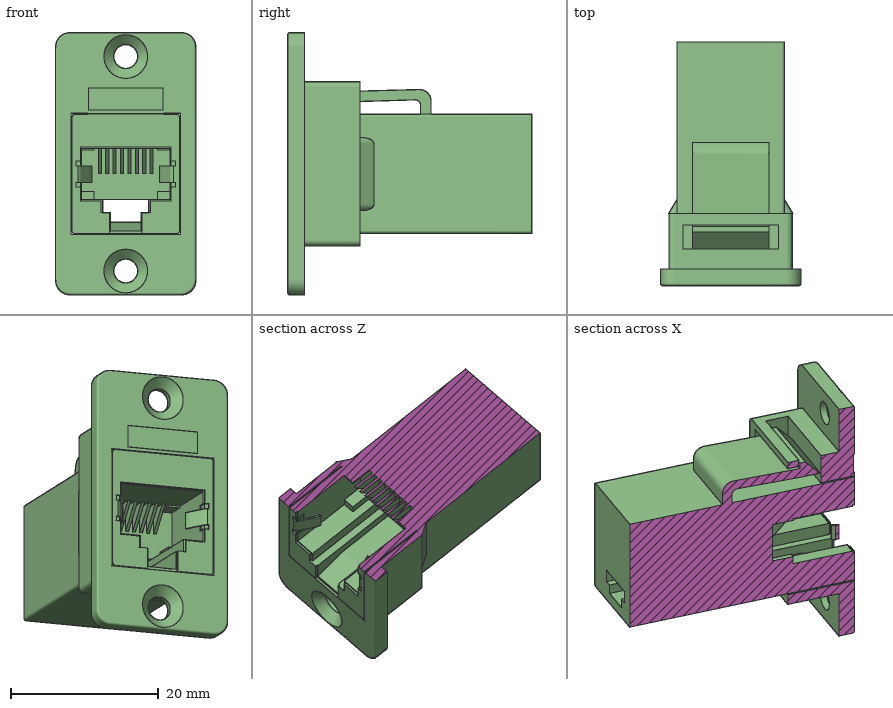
import cadquery as cq


PLATE_WIDTH = 19.0
PLATE_HEIGHT = 35.5
PLATE_THICKNESS = 2.3
PLATE_CORNER_RADIUS = 2.0
PLATE_EDGE_FILLET = 0.3

SCREW_PITCH = 29.0
SCREW_DIAMETER = 3.2
SCREW_HEAD_DIAMETER = 5.9
SCREW_HEAD_ANGLE = 90.0

LABEL_WIDTH = 10.1
LABEL_HEIGHT = 3.0
LABEL_CENTER_Z = 8.75
LABEL_DEPTH = 0.1

FRAME_WIDTH = 16.7
FRAME_HEIGHT = 22.25
FRAME_REAR_Y = 9.8
FRAME_CORNER_RADIUS = 0.75

LENGTH = 33.0
BODY_WIDTH = 14.6
BODY_TOP_Z = 6.7
BODY_BOTTOM_Z = -9.45
BODY_CORNER_RADIUS = 0.4
BODY_GAP = 0.1

SLOT_WIDTH = 12.95
SLOT_FRONT_Y = 4.95
SLOT_REAR_Y = 8.2
CHANNEL_TOP_Z = 10.1

LATCH_WIDTH = 10.3
LATCH_THICKNESS = 1.45
LATCH_REAR_Y = 19.4
LATCH_TOP_Z = 10.1
LATCH_OUTER_RADIUS = 1.6
LATCH_INNER_RADIUS = 0.7
LATCH_DROP = 0.3
BARB_REAR_Y = 8.05
BARB_CREST_FRONT_Y = 7.25
BARB_TIP_Y = 5.0
BARB_TOP_Z = 10.65

STOP_TOP_Z = 3.55
STOP_BOTTOM_Z = -6.35
STOP_REACH_X = 8.4
STOP_REAR_Y = 11.65
STOP_EDGE_FILLET = 0.85
STOP_ROOT_DEPTH = 1.0

SHIELD_THICKNESS = 0.3
CAVITY_DEPTH = 12.0
CAVITY_WIDTH = 11.95
CAVITY_TOP_Z = 2.1
CAVITY_BOTTOM_Z = -4.85
SHIELD_CAVITY_WIDTH = 12.25
SHIELD_CAVITY_TOP_Z = 2.25
SHIELD_CAVITY_BOTTOM_Z = -5.0

KEY_UPPER_WIDTH = 6.2
KEY_LOWER_WIDTH = 4.1
KEY_STEP_Z = -6.6
KEY_FLOOR_Z = -7.9
KEY_RAMP_FRONT_Z = -9.1
KEY_RAMP_REAR_Y = 5.0
SHIELD_KEY_UPPER_WIDTH = 6.75
SHIELD_KEY_LOWER_WIDTH = 4.4

CONTACT_COUNT = 8
CONTACT_PITCH = 1.0
CONTACT_WIDTH = 0.42
CONTACT_BOTTOM_Z = -1.3

GUIDE_INNER_X = 4.3
GUIDE_LENGTH = 3.0
GUIDE_UPPER_BOTTOM_Z = 1.85
GUIDE_LOWER_TOP_Z = -3.75

SPRING_POCKET_X = 6.72
SPRING_POCKET_TOP_Z = 0.4
SPRING_POCKET_BOTTOM_Z = -3.15
SPRING_RELIEF_X = 6.15
SPRING_RELIEF_DEPTH = 1.5
SPRING_TOP_Z = -0.3
SPRING_BOTTOM_Z = -2.55
SPRING_ROOT_X = 6.48
SPRING_BEND_X = 6.0
SPRING_BEND_Y = 0.4
SPRING_BEND_BULGE = 0.08
SPRING_KNEE_X = 4.9
SPRING_KNEE_Y = 2.4
SPRING_TIP_X = 4.55
SPRING_TIP_Y = 3.3


def block(x0, x1, y0, y1, z0, z1):
    """Box given by its limits on each axis."""
    return cq.Workplane("XY").box(x1 - x0, y1 - y0, z1 - z0, centered=False).translate((x0, y0, z0))


def centered_block(width, y0, y1, z0, z1):
    """Box centred on X = 0."""
    return block(-width / 2, width / 2, y0, y1, z0, z1)


def both_sides(shape):
    """The shape together with its mirror image across X = 0."""
    return shape.union(shape.mirror("YZ"))


def make_frame():
    plate = centered_block(PLATE_WIDTH, 0, PLATE_THICKNESS, -PLATE_HEIGHT / 2, PLATE_HEIGHT / 2)
    plate = plate.edges("|Y").fillet(PLATE_CORNER_RADIUS)
    plate = plate.faces("<Y").edges().fillet(PLATE_EDGE_FILLET)

    housing = centered_block(FRAME_WIDTH, PLATE_THICKNESS, FRAME_REAR_Y, -FRAME_HEIGHT / 2, FRAME_HEIGHT / 2)
    housing = housing.edges("|Y").fillet(FRAME_CORNER_RADIUS)

    window = centered_block(
        BODY_WIDTH + 2 * BODY_GAP, 0, FRAME_REAR_Y, BODY_BOTTOM_Z - BODY_GAP, BODY_TOP_Z + BODY_GAP
    )
    channel = centered_block(SLOT_WIDTH, SLOT_FRONT_Y, FRAME_REAR_Y, BODY_TOP_Z, CHANNEL_TOP_Z)
    slot = centered_block(SLOT_WIDTH, SLOT_FRONT_Y, SLOT_REAR_Y, BODY_TOP_Z, FRAME_HEIGHT / 2)
    label = centered_block(
        LABEL_WIDTH, 0, LABEL_DEPTH, LABEL_CENTER_Z - LABEL_HEIGHT / 2, LABEL_CENTER_Z + LABEL_HEIGHT / 2
    )
    frame = plate.union(housing).cut(window).cut(channel).cut(slot).cut(label)
    return (
        frame.faces("<Y")
        .workplane(origin=(0, 0, 0))
        .pushPoints([(0, SCREW_PITCH / 2), (0, -SCREW_PITCH / 2)])
        .cskHole(SCREW_DIAMETER, SCREW_HEAD_DIAMETER, SCREW_HEAD_ANGLE)
    )


def make_latch():
    """Bent arm rising from the body and running forward to a barb in the frame slot."""
    front_top_z = LATCH_TOP_Z - LATCH_DROP
    front_bottom_z = front_top_z - LATCH_THICKNESS
    leg_front_y = LATCH_REAR_Y - LATCH_THICKNESS
    arm = (
        cq.Workplane("YZ")
        .moveTo(LATCH_REAR_Y, BODY_TOP_Z)
        .lineTo(LATCH_REAR_Y, LATCH_TOP_Z)
        .lineTo(BARB_REAR_Y, front_top_z)
        .lineTo(BARB_REAR_Y, front_bottom_z)
        .lineTo(leg_front_y, LATCH_TOP_Z - LATCH_THICKNESS)
        .lineTo(leg_front_y, BODY_TOP_Z)
        .close()
        .extrude(LATCH_WIDTH / 2, both=True)
    )
    outer_corner = cq.selectors.NearestToPointSelector((0, LATCH_REAR_Y, LATCH_TOP_Z))
    inner_corner = cq.selectors.NearestToPointSelector((0, leg_front_y, LATCH_TOP_Z - LATCH_THICKNESS))
    arm = arm.edges("|X").edges(outer_corner).fillet(LATCH_OUTER_RADIUS)
    arm = arm.edges("|X").edges(inner_corner).fillet(LATCH_INNER_RADIUS)
    barb = (
        cq.Workplane("YZ")
        .moveTo(BARB_REAR_Y, front_bottom_z)
        .lineTo(BARB_REAR_Y, BARB_TOP_Z)
        .lineTo(BARB_CREST_FRONT_Y, BARB_TOP_Z)
        .lineTo(BARB_TIP_Y, front_bottom_z)
        .close()
        .extrude(LATCH_WIDTH / 2, both=True)
    )
    return arm.union(barb)


def make_stop():
    """Wedge on the +X side of the body, thinning to the rear, with rounded ends."""
    side_x = BODY_WIDTH / 2
    root_x = side_x - STOP_ROOT_DEPTH
    stop = (
        cq.Workplane("XY", origin=(0, 0, STOP_BOTTOM_Z))
        .moveTo(root_x, FRAME_REAR_Y)
        .lineTo(STOP_REACH_X, FRAME_REAR_Y)
        .lineTo(side_x, STOP_REAR_Y)
        .lineTo(root_x, STOP_REAR_Y)
        .close()
        .extrude(STOP_TOP_Z - STOP_BOTTOM_Z)
    )
    for end_z in (STOP_BOTTOM_Z, STOP_TOP_Z):
        edge_point = ((STOP_REACH_X + side_x) / 2, (FRAME_REAR_Y + STOP_REAR_Y) / 2, end_z)
        stop = stop.edges(cq.selectors.NearestToPointSelector(edge_point)).fillet(STOP_EDGE_FILLET)
    return stop


def make_plug_opening():
    shield_cavity = centered_block(
        SHIELD_CAVITY_WIDTH, 0, SHIELD_THICKNESS, SHIELD_CAVITY_BOTTOM_Z, SHIELD_CAVITY_TOP_Z
    )
    shield_key_upper = centered_block(SHIELD_KEY_UPPER_WIDTH, 0, SHIELD_THICKNESS, KEY_STEP_Z, CAVITY_BOTTOM_Z)
    shield_key_lower = centered_block(SHIELD_KEY_LOWER_WIDTH, 0, SHIELD_THICKNESS, BODY_BOTTOM_Z, KEY_STEP_Z)
    cavity = centered_block(CAVITY_WIDTH, 0, CAVITY_DEPTH, CAVITY_BOTTOM_Z, CAVITY_TOP_Z)
    key_upper = centered_block(KEY_UPPER_WIDTH, 0, LENGTH, KEY_STEP_Z, CAVITY_BOTTOM_Z)
    key_lower = (
        cq.Workplane("YZ")
        .moveTo(0, KEY_STEP_Z)
        .lineTo(0, KEY_RAMP_FRONT_Z)
        .lineTo(SHIELD_THICKNESS, KEY_RAMP_FRONT_Z)
        .lineTo(KEY_RAMP_REAR_Y, KEY_FLOOR_Z)
        .lineTo(LENGTH, KEY_FLOOR_Z)
        .lineTo(LENGTH, KEY_STEP_Z)
        .close()
        .extrude(KEY_LOWER_WIDTH / 2, both=True)
    )
    pocket = block(0, SPRING_POCKET_X, 0, SHIELD_THICKNESS, SPRING_POCKET_BOTTOM_Z, SPRING_POCKET_TOP_Z)
    relief = block(0, SPRING_RELIEF_X, 0, SPRING_RELIEF_DEPTH, SPRING_POCKET_BOTTOM_Z, SPRING_POCKET_TOP_Z)
    opening = cavity.union(key_upper).union(key_lower)
    opening = opening.union(shield_cavity).union(shield_key_upper).union(shield_key_lower)
    return opening.union(both_sides(pocket.union(relief)))


def make_spring():
    """Ground spring on the +X side, bent in from the shield face and leaning into the cavity."""
    thickness = SPRING_POCKET_X - SPRING_ROOT_X
    bend_middle = ((SPRING_ROOT_X + SPRING_BEND_X) / 2, SPRING_BEND_Y / 2 - SPRING_BEND_BULGE)
    return (
        cq.Workplane("XY", origin=(0, 0, SPRING_BOTTOM_Z))
        .moveTo(SPRING_POCKET_X, 0)
        .lineTo(SPRING_ROOT_X, 0)
        .threePointArc(bend_middle, (SPRING_BEND_X, SPRING_BEND_Y))
        .lineTo(SPRING_KNEE_X, SPRING_KNEE_Y)
        .tangentArcPoint((SPRING_TIP_X, SPRING_TIP_Y), relative=False)
        .lineTo(SPRING_TIP_X + thickness, SPRING_TIP_Y)
        .lineTo(SPRING_KNEE_X + thickness, SPRING_KNEE_Y)
        .lineTo(SPRING_BEND_X + thickness, SPRING_BEND_Y)
        .lineTo(SPRING_POCKET_X, SPRING_BEND_Y)
        .close()
        .extrude(SPRING_TOP_Z - SPRING_BOTTOM_Z)
    )


def make_contacts():
    """Row of contact wires, each a web whose lower edge falls at 45 degrees toward the cavity end."""
    slope_length = CAVITY_TOP_Z - CONTACT_BOTTOM_Z
    first_x = -CONTACT_PITCH * (CONTACT_COUNT - 1) / 2
    contacts = cq.Workplane("YZ")
    for index in range(CONTACT_COUNT):
        contact = (
            cq.Workplane("YZ", origin=(first_x + index * CONTACT_PITCH, 0, 0))
            .moveTo(CAVITY_DEPTH - slope_length, CAVITY_TOP_Z)
            .lineTo(CAVITY_DEPTH, CAVITY_TOP_Z)
            .lineTo(CAVITY_DEPTH, CONTACT_BOTTOM_Z)
            .close()
            .extrude(CONTACT_WIDTH / 2, both=True)
        )
        contacts = contacts.add(contact)
    return contacts.combine()


def make_guides():
    """Guide blocks in the upper and lower corner of the cavity end on the +X side."""
    outer_x = CAVITY_WIDTH / 2
    front_y = CAVITY_DEPTH - GUIDE_LENGTH
    upper = block(GUIDE_INNER_X, outer_x, front_y, CAVITY_DEPTH, GUIDE_UPPER_BOTTOM_Z, CAVITY_TOP_Z)
    lower = block(GUIDE_INNER_X, outer_x, front_y, CAVITY_DEPTH, CAVITY_BOTTOM_Z, GUIDE_LOWER_TOP_Z)
    return upper.union(lower)


def make_body():
    body = centered_block(BODY_WIDTH, 0, LENGTH, BODY_BOTTOM_Z, BODY_TOP_Z)
    body = body.edges("|Y").fillet(BODY_CORNER_RADIUS)
    body = body.union(both_sides(make_stop()))
    body = body.cut(make_plug_opening())
    body = body.union(both_sides(make_guides()))
    body = body.union(both_sides(make_spring()))
    body = body.union(make_contacts())
    return body.union(make_latch())


result = make_frame().union(make_body())